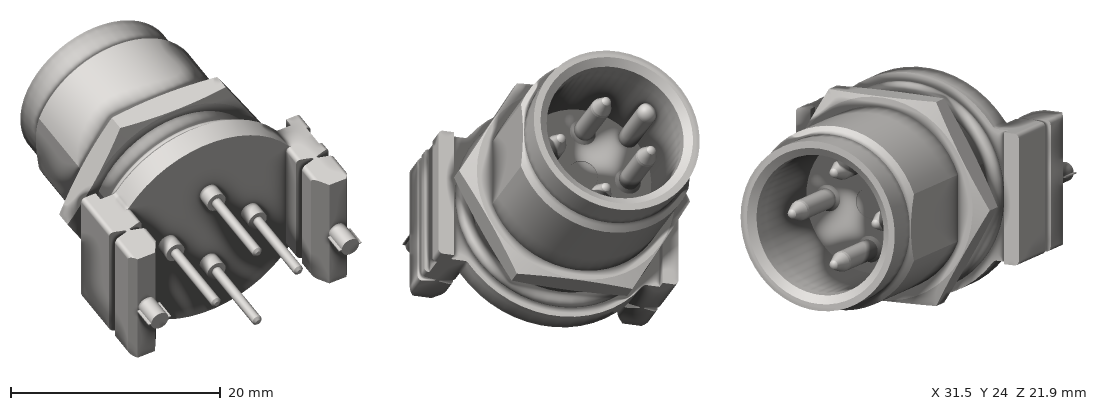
import cadquery as cq
import math


length = 31.5
lip_length = 3.1
lip_radius = 16.6 / 2
shell_radius = 18.0 / 2
flat_offset = 8.38
flange_front = 19.35
flange_thickness = 2.52
flange_rear = flange_front + flange_thickness
flange_radius = 10.95

cavity_radius = 13.7 / 2
mouth_radius = 7.62
mouth_depth = 0.5
cavity_depth = 10.7
badge_radius = 3.0 / 2
badge_depth = 0.1

key_radius = 2.0 / 2
key_distance = 6.43
key_angle = 135.0
key_front = 3.78
key_root = 0.3

contact_count = 4
contact_circle = 4.5
contact_radius = 2.0 / 2
contact_front = 3.1
tip_radius = 0.45
tip_dome = 0.2
taper_length = 1.42
shoulder_radius = 0.95
shoulder_length = 0.3
collar_radius = 1.3
collar_length = 0.3
boss_radius = 2.0 / 2
boss_length = 1.5
tail_radius = 1.0 / 2
tail_chamfer = 0.25

ring_tube_radius = 0.75
ring_outer_radius = 10.25
ring_press = 0.03
ring_centre = flange_front - ring_tube_radius + ring_press

arm_outer = 12.0
arm_inner = 8.47
arm_half_height = 6.45
arm_edge_radius = 0.47
arm_fillet = 0.5
hook_front = 18.4
hook_inner = 10.43
arm_rear = 28.35
neck_position = 24.38
neck_centre = 10.25
neck_width = 0.22
neck_thickness = 0.45
neck_opening = 1.13
outer_bevel_start = 27.47
inner_bevel_start = 26.65
end_outer = 11.45
end_inner = 9.55
slot_front = 20.35
slot_length = 2.5
slot_depth = 0.47

peg_centre = 10.43
peg_radius = 0.95
peg_end = 30.87
rib_front = 28.65
rib_reach = 1.23
rib_thickness = 0.13

nut_front = 12.85
nut_thickness = 2.52
nut_across_flats = 20.0
nut_chamfer_radius = 9.92
nut_chamfer_depth = 0.45


def cylinder(x_start, x_end, radius, y=0.0):
    """Cylinder along X."""
    start = cq.Workplane("YZ", origin=(x_start, y, 0))
    return start.circle(radius).extrude(x_end - x_start)


def revolve_about_x(points):
    """Solid of revolution about X from (x, radius) points."""
    profile = cq.Workplane("XY").polyline(points).close()
    return profile.revolve(360, (0, 0, 0), (1, 0, 0))


def make_shell_envelope():
    """Outside of the shell without flange: lip, cone and flatted barrel."""
    cone_end = lip_length + shell_radius - lip_radius
    turned = revolve_about_x([
        (0, 0),
        (0, lip_radius),
        (lip_length, lip_radius),
        (cone_end, shell_radius),
        (flange_front, shell_radius),
        (flange_front, 0),
    ])
    between_flats = cq.Workplane("XY").box(
        flange_front, 2 * flat_offset, 2 * shell_radius, centered=(False, True, True)
    )
    return turned.intersect(between_flats)


def make_flange():
    """Round flange with side blocks blended into the arms."""
    block = cq.Workplane("XY").box(
        flange_thickness, 2 * hook_inner, 2 * arm_half_height, centered=(False, True, True)
    ).translate((flange_front, 0, 0))
    flange = cylinder(flange_front, flange_rear, flange_radius).union(block)
    inside_corners = flange.edges("|X").filter(
        lambda edge: abs(edge.Center().y) < hook_inner - arm_fillet
    )
    return inside_corners.fillet(arm_fillet)


def make_cavity():
    """Bore of the mating end with its conical mouth and the floor recess."""
    bore = revolve_about_x([
        (0, 0),
        (0, mouth_radius),
        (mouth_depth, cavity_radius),
        (cavity_depth, cavity_radius),
        (cavity_depth, 0),
    ])
    return bore.union(cylinder(cavity_depth, cavity_depth + badge_depth, badge_radius))


def make_key():
    """Round coding rib with a domed front end, buried in the cavity wall and floor."""
    dome_centre = key_front + key_radius
    dome_middle = key_radius * math.cos(math.radians(45))
    rib = (
        cq.Workplane("XY")
        .moveTo(key_front, 0)
        .threePointArc((dome_centre - dome_middle, dome_middle), (dome_centre, key_radius))
        .lineTo(cavity_depth + key_root, key_radius)
        .lineTo(cavity_depth + key_root, 0)
        .close()
        .revolve(360, (0, 0, 0), (1, 0, 0))
    )
    return rib.translate((0, key_distance, 0)).rotate((0, 0, 0), (1, 0, 0), key_angle)


def make_contact():
    """Contact on the X axis: tapered front pin, rear boss and solder tail."""
    tip_ring = contact_front + tip_dome
    dome_radius = (tip_radius ** 2 + tip_dome ** 2) / (2 * tip_dome)
    taper_end = tip_ring + taper_length
    boss_end = flange_rear + boss_length
    return (
        cq.Workplane("XY")
        .moveTo(contact_front, 0)
        .radiusArc((tip_ring, tip_radius), dome_radius)
        .lineTo(taper_end, shoulder_radius)
        .lineTo(taper_end + shoulder_length, contact_radius)
        .lineTo(cavity_depth - collar_length, contact_radius)
        .lineTo(cavity_depth, collar_radius)
        .lineTo(flange_front, collar_radius)
        .lineTo(flange_front, boss_radius)
        .lineTo(boss_end, boss_radius)
        .lineTo(boss_end, tail_radius)
        .lineTo(length - tail_chamfer, tail_radius)
        .lineTo(length, tail_radius - tail_chamfer)
        .lineTo(length, 0)
        .close()
        .revolve(360, (0, 0, 0), (1, 0, 0))
    )


def make_arm():
    """Arm on the +Y side: hook, break-off neck, bevelled end and ribbed peg."""
    neck_front = neck_position - neck_width / 2
    neck_rear = neck_position + neck_width / 2
    opening_front = neck_position - neck_opening / 2
    opening_rear = neck_position + neck_opening / 2
    neck_outer = neck_centre + neck_thickness / 2
    neck_inner = neck_centre - neck_thickness / 2
    outline = [
        (hook_front, hook_inner),
        (hook_front, arm_outer),
        (opening_front, arm_outer),
        (neck_front, neck_outer),
        (neck_rear, neck_outer),
        (opening_rear, arm_outer),
        (outer_bevel_start, arm_outer),
        (arm_rear, end_outer),
        (arm_rear, end_inner),
        (inner_bevel_start, arm_inner),
        (opening_rear, arm_inner),
        (neck_rear, neck_inner),
        (neck_front, neck_inner),
        (opening_front, arm_inner),
        (flange_front, arm_inner),
        (flange_front, hook_inner),
    ]
    side_shape = cq.Workplane("XY").polyline(outline).close().extrude(arm_half_height, both=True)
    rounded_bar = (
        cq.Workplane("YZ", origin=(hook_front, (arm_outer + arm_inner) / 2, 0))
        .rect(arm_outer - arm_inner, 2 * arm_half_height)
        .extrude(arm_rear - hook_front)
        .edges("|X")
        .fillet(arm_edge_radius)
    )
    peg = cylinder(arm_rear, peg_end, peg_radius, peg_centre)
    rib = cq.Workplane("XY").box(
        peg_end - rib_front, 2 * rib_reach, rib_thickness, centered=(False, True, True)
    ).translate((rib_front, peg_centre, 0))
    return side_shape.intersect(rounded_bar).union(peg).union(rib)


def make_arm_slot():
    """Cutter for the slot across the outside of the +Y arm."""
    return cq.Workplane("XY").box(
        slot_length, slot_depth, 2 * arm_half_height, centered=(False, False, True)
    ).translate((slot_front, arm_outer - slot_depth, 0))


def make_sealing_ring():
    """Round ring that sits on the barrel against the front of the flange."""
    tube_distance = ring_outer_radius - ring_tube_radius
    section = cq.Workplane("XY").center(ring_centre, tube_distance).circle(ring_tube_radius)
    return section.revolve(360, (0, -tube_distance, 0), (1, -tube_distance, 0))


def make_connector():
    """Shell with flange, key, sealing ring, arms and contacts as one solid."""
    body = make_shell_envelope().union(make_flange()).cut(make_cavity())
    body = body.union(make_key()).union(make_sealing_ring())
    arm = make_arm()
    body = body.union(arm.cut(make_arm_slot())).union(arm.mirror("XZ"))
    contact = make_contact()
    for index in range(contact_count):
        spot = contact.translate((0, contact_circle, 0))
        body = body.union(spot.rotate((0, 0, 0), (1, 0, 0), index * 360 / contact_count))
    return body


def make_nut():
    """Hexagon nut with corners on +-Y, chamfered on both faces, fitting the flatted barrel."""
    corner_radius = nut_across_flats / 2 / math.cos(math.pi / 6)
    nut_rear = nut_front + nut_thickness
    hexagon = (
        cq.Workplane("YZ", origin=(nut_front, 0, 0))
        .polygon(6, 2 * corner_radius)
        .extrude(nut_thickness)
    )
    chamfer_limit = revolve_about_x([
        (nut_front, 0),
        (nut_front, nut_chamfer_radius),
        (nut_front + nut_chamfer_depth, corner_radius),
        (nut_rear - nut_chamfer_depth, corner_radius),
        (nut_rear, nut_chamfer_radius),
        (nut_rear, 0),
    ])
    return hexagon.intersect(chamfer_limit).cut(make_shell_envelope())


connector = make_connector()
nut = make_nut()

result = cq.Compound.makeCompound([connector.val(), nut.val()])